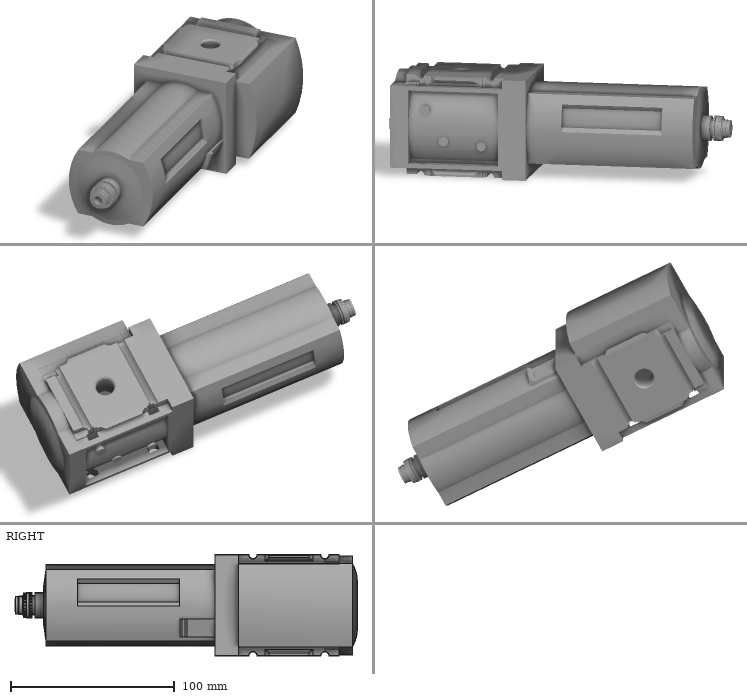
import cadquery as cq
import math


HEAD_SIZE = 62.0
HALF_HEAD = HEAD_SIZE / 2
BASE_LENGTH = 14.5
CAP_FRONT_Y = 76.0
CAP_REAR_Y = 84.2
REAR_END_Y = 87.0
FRAME_HALF_HEIGHT = 25.3
CAP_HALF_HEIGHT = 25.5
PORT_BLOCK_HALF_WIDTH = 24.3
PORT_Y = (BASE_LENGTH + CAP_FRONT_Y) / 2

BULGE_HALF_WIDTH = 14.7
BULGE_TOP = 30.4
DOME_RADIUS = 25.1
DOME_FLAT_RADIUS = 15.0

COVER_EDGE_X = 39.8
COVER_CROWN_X = 44.8

PORT_DIAMETER = 11.3
PORT_MOUTH_DIAMETER = 13.2
PORT_DEPTH = 16.7
GROOVE_RADIUS = 2.5
GROOVE_OFFSET = 22.0
LEDGE_HEIGHT = 26.5
LEDGE_INNER_X = 19.9
WING_REACH = 2.5
WING_HALF_LENGTH = 14.7
WING_TIP_HALF_LENGTH = 12.1
WING_ROOT_HEIGHT = 27.0
WING_TOP_DROP = 0.5
WING_BEVEL_START = 28.3
WING_BEVEL = 0.8
KEYHOLE_OFFSET = 20.5
KEYHOLE_OUTER_X = -27.5
KEYHOLE_STEP_X = -23.5
KEYHOLE_INNER_X = -22.2
KEYHOLE_WIDTH = 7.0
KEYHOLE_NECK_WIDTH = 3.8

WINDOW_FRONT_Y = 17.0
WINDOW_REAR_Y = 72.9
WINDOW_HALF_HEIGHT = 22.8
WINDOW_FLOOR_X = -21.5
DRUM_CROWN_X = -29.7
DRUM_EDGE_X = -21.8
DRUM_HALF_HEIGHT = 21.1
PIN_END_X = -30.1
PINS = [(5.5, 62.4, 10.9), (6.0, 51.3, -8.4), (5.5, 27.6, -10.9)]

BOWL_LENGTH = 103.5
BOWL_CORNER = 21.8
BOWL_HALF_WIDTH = 28.0
BOWL_BULGE_RADIUS = 25.0
CONE_LARGE_RADIUS = 21.5
CONE_SMALL_RADIUS = 11.5
CONE_HEIGHT = 1.5

SLOT_START = 21.8
SLOT_END = 84.2
SLOT_DEPTH = 3.5
SLOT_SILL_Z = -0.5
SLOT_FLOOR_LOW_Z = 2.0
SLOT_SHELF_X = 26.0
SLOT_FLOOR_HIGH_Z = 13.5
SLOT_LIP_Z = 16.1

LATCH_TOP_Z = -8.4
LATCH_BOTTOM_Z = -19.3
LATCH_PLATE_HEIGHT = 1.9
LATCH_RIDGE_HEIGHT = 3.3
LATCH_ROOT_DEPTH = 2.0
LATCH_LENGTH = 21.4
LATCH_RIDGE_LENGTH = 4.2
LATCH_RIDGE_SLOPE = 1.3

DRAIN_LENGTH = 122.3
DRAIN_BORE_DIAMETER = 5.5
DRAIN_BORE_DEPTH = 6.3
DRAIN_TIP_RADIUS = 3.1
DRAIN_TIP_HEIGHT = 0.2
NOTCH_COUNT = 24
NOTCH_WIDTH = 0.6
NOTCH_DEPTH = 0.5
RING_RADIUS = 7.7
RING_START = 112.0
RING_END = 113.0
COLLAR_RADIUS = 7.5
COLLAR_START = 115.4
COLLAR_END = 117.2
DRAIN_STEPS = [
    (7.7, 110.1),
    (5.9, RING_START),
    (RING_RADIUS, RING_END),
    (5.9, 113.7),
    (7.7, COLLAR_START),
    (COLLAR_RADIUS, COLLAR_END),
    (6.0, 117.9),
    (5.7, 120.0),
    (5.0, 120.5),
    (5.5, DRAIN_LENGTH - DRAIN_TIP_HEIGHT),
]

OVERSHOOT = 4.2


def box(x_range, y_range, z_range):
    """Axis-aligned box between the given limits."""
    (x0, x1), (y0, y1), (z0, z1) = x_range, y_range, z_range
    return cq.Workplane("XY").box(x1 - x0, y1 - y0, z1 - z0, centered=False).translate((x0, y0, z0))


def symmetric(limit):
    return (-limit, limit)


def section_at(y):
    """Workplane in X and Z at the given Y; it extrudes towards -Y."""
    return cq.Workplane("XZ", origin=(0, y, 0))


def both_z(shape):
    """The shape together with its mirror image below the XY plane."""
    return shape.union(shape.mirror("XY"))


def arc_sagitta(height, crown_x, edge_x, edge_height):
    """Drop from the crown, at a height, of the arc from its crown to its edge."""
    rise = crown_x - edge_x
    radius = (edge_height**2 + rise**2) / (2 * rise)
    return radius - math.sqrt(radius**2 - height**2)



def head_blank():
    base = box(symmetric(HALF_HEAD), (0, BASE_LENGTH), symmetric(HALF_HEAD))
    frame = box(symmetric(HALF_HEAD), (BASE_LENGTH, CAP_FRONT_Y), symmetric(FRAME_HALF_HEIGHT))
    port_block = box(
        symmetric(PORT_BLOCK_HALF_WIDTH), (BASE_LENGTH, CAP_FRONT_Y), symmetric(HALF_HEAD)
    )
    return base.union(frame).union(port_block)


def cap():
    plate = box(symmetric(HALF_HEAD), (CAP_FRONT_Y, CAP_REAR_Y), symmetric(CAP_HALF_HEIGHT))
    bulges = (
        section_at(CAP_REAR_Y)
        .moveTo(-BULGE_HALF_WIDTH, -CAP_HALF_HEIGHT)
        .lineTo(-BULGE_HALF_WIDTH, CAP_HALF_HEIGHT)
        .threePointArc((0, BULGE_TOP), (BULGE_HALF_WIDTH, CAP_HALF_HEIGHT))
        .lineTo(BULGE_HALF_WIDTH, -CAP_HALF_HEIGHT)
        .threePointArc((0, -BULGE_TOP), (-BULGE_HALF_WIDTH, -CAP_HALF_HEIGHT))
        .close()
        .extrude(CAP_REAR_Y - CAP_FRONT_Y)
    )
    dome = (
        cq.Workplane("XY")
        .moveTo(0, CAP_REAR_Y)
        .lineTo(0, REAR_END_Y)
        .lineTo(DOME_FLAT_RADIUS, REAR_END_Y)
        .tangentArcPoint((DOME_RADIUS, CAP_REAR_Y), relative=False)
        .close()
        .revolve(360, (0, 0, 0), (0, 1, 0))
    )
    return plate.union(bulges).union(dome)


def cover():
    return (
        section_at(CAP_REAR_Y)
        .moveTo(HALF_HEAD, -CAP_HALF_HEIGHT)
        .lineTo(COVER_EDGE_X, -CAP_HALF_HEIGHT)
        .threePointArc((COVER_CROWN_X, 0), (COVER_EDGE_X, CAP_HALF_HEIGHT))
        .lineTo(HALF_HEAD, CAP_HALF_HEIGHT)
        .close()
        .extrude(CAP_REAR_Y - BASE_LENGTH)
    )


def wings():
    """Flared wings along both sides of the port block, top and bottom."""
    root_x = PORT_BLOCK_HALF_WIDTH
    tip_x = root_x + WING_REACH
    plan = (
        cq.Workplane("XY")
        .polyline([
            (root_x, -WING_HALF_LENGTH),
            (tip_x, -WING_TIP_HALF_LENGTH),
            (tip_x, WING_TIP_HALF_LENGTH),
            (root_x, WING_HALF_LENGTH),
        ])
        .close()
        .extrude(HALF_HEAD)
    )
    profile = (
        section_at(WING_HALF_LENGTH)
        .moveTo(root_x, WING_ROOT_HEIGHT)
        .lineTo(tip_x - WING_BEVEL, WING_BEVEL_START)
        .lineTo(tip_x, WING_BEVEL_START + WING_BEVEL)
        .lineTo(tip_x, HALF_HEAD - WING_TOP_DROP)
        .lineTo(root_x, HALF_HEAD)
        .close()
        .extrude(2 * WING_HALF_LENGTH)
    )
    wing = plan.intersect(profile).translate((0, PORT_Y, 0))
    return both_z(wing.union(wing.mirror("YZ")))


def ports():
    chamfer = (PORT_MOUTH_DIAMETER - PORT_DIAMETER) / 2
    port = (
        cq.Workplane("XY", origin=(0, PORT_Y, HALF_HEAD))
        .circle(PORT_DIAMETER / 2)
        .extrude(-PORT_DEPTH)
    )
    mouth = (
        cq.Workplane("XY", origin=(0, PORT_Y, HALF_HEAD))
        .circle(PORT_MOUTH_DIAMETER / 2)
        .workplane(offset=-chamfer)
        .circle(PORT_DIAMETER / 2)
        .loft(ruled=True)
    )
    return both_z(port.union(mouth))


def grooves():
    """Round cross grooves on both sides of each port."""
    groove = (
        cq.Workplane("YZ", origin=(-PORT_BLOCK_HALF_WIDTH, 0, 0))
        .pushPoints([(PORT_Y + side * GROOVE_OFFSET, HALF_HEAD) for side in (-1, 1)])
        .circle(GROOVE_RADIUS)
        .extrude(2 * PORT_BLOCK_HALF_WIDTH)
    )
    return both_z(groove)


def ledges():
    """Lowered corners of the port block next to the cap."""
    y_range = (PORT_Y + GROOVE_OFFSET, CAP_FRONT_Y)
    corner = box((LEDGE_INNER_X, PORT_BLOCK_HALF_WIDTH), y_range, (LEDGE_HEIGHT, HALF_HEAD))
    return both_z(corner.union(corner.mirror("YZ")))


def keyholes():
    """Stepped openings through the frame bars into the side window."""
    z_range = (WINDOW_HALF_HEIGHT - OVERSHOOT, HALF_HEAD)
    cutter = cq.Workplane("XY")
    for side in (-1, 1):
        y = PORT_Y + side * KEYHOLE_OFFSET
        half_width = KEYHOLE_WIDTH / 2
        half_neck = KEYHOLE_NECK_WIDTH / 2
        body = box((KEYHOLE_OUTER_X, KEYHOLE_STEP_X), (y - half_width, y + half_width), z_range)
        neck = box((KEYHOLE_STEP_X, KEYHOLE_INNER_X), (y - half_neck, y + half_neck), z_range)
        cutter = cutter.union(body).union(neck)
    return both_z(cutter)


def side_window():
    return box(
        (-HALF_HEAD, WINDOW_FLOOR_X), (WINDOW_FRONT_Y, WINDOW_REAR_Y), symmetric(WINDOW_HALF_HEIGHT)
    )


def drum():
    """Curved body that fills the back of the side window, with the pins standing on it."""
    shape = (
        section_at(WINDOW_REAR_Y)
        .moveTo(WINDOW_FLOOR_X, -DRUM_HALF_HEIGHT)
        .lineTo(DRUM_EDGE_X, -DRUM_HALF_HEIGHT)
        .threePointArc((DRUM_CROWN_X, 0), (DRUM_EDGE_X, DRUM_HALF_HEIGHT))
        .lineTo(WINDOW_FLOOR_X, DRUM_HALF_HEIGHT)
        .close()
        .extrude(WINDOW_REAR_Y - WINDOW_FRONT_Y)
    )
    for diameter, y, z in PINS:
        pin = (
            cq.Workplane("YZ", origin=(PIN_END_X, y, z))
            .circle(diameter / 2)
            .extrude(WINDOW_FLOOR_X - PIN_END_X)
        )
        shape = shape.union(pin)
    return shape


def make_head():
    head = head_blank().union(cap()).union(cover()).union(wings())
    head = head.cut(ports()).cut(grooves()).cut(ledges()).cut(side_window()).cut(keyholes())
    return head.union(drum())



def bowl_side_x(z):
    """X of the bowl's rounded +X side at a height."""
    return BOWL_HALF_WIDTH - arc_sagitta(z, BOWL_HALF_WIDTH, BOWL_CORNER, BOWL_CORNER)


def bowl_shell():
    corner = BOWL_CORNER
    sides = (
        section_at(0)
        .moveTo(-corner, corner)
        .lineTo(corner, corner)
        .threePointArc((BOWL_HALF_WIDTH, 0), (corner, -corner))
        .lineTo(-corner, -corner)
        .threePointArc((-BOWL_HALF_WIDTH, 0), (-corner, corner))
        .close()
        .extrude(BOWL_LENGTH)
    )
    bulge = section_at(0).circle(BOWL_BULGE_RADIUS).extrude(BOWL_LENGTH)
    return sides.union(bulge)


def sight_slots():
    floor_low = (bowl_side_x(SLOT_FLOOR_LOW_Z) - SLOT_DEPTH, SLOT_FLOOR_LOW_Z)
    floor_high = (bowl_side_x(SLOT_FLOOR_HIGH_Z) - SLOT_DEPTH, SLOT_FLOOR_HIGH_Z)
    middle_z = (SLOT_FLOOR_LOW_Z + SLOT_FLOOR_HIGH_Z) / 2
    floor_middle = (bowl_side_x(middle_z) - SLOT_DEPTH, middle_z)
    outside_x = BOWL_HALF_WIDTH + OVERSHOOT
    slot = (
        section_at(-SLOT_START)
        .moveTo(outside_x, SLOT_SILL_Z)
        .lineTo(bowl_side_x(SLOT_SILL_Z), SLOT_SILL_Z)
        .lineTo(SLOT_SHELF_X, SLOT_FLOOR_LOW_Z)
        .lineTo(*floor_low)
        .threePointArc(floor_middle, floor_high)
        .lineTo(bowl_side_x(SLOT_LIP_Z), SLOT_LIP_Z)
        .lineTo(outside_x, SLOT_LIP_Z)
        .close()
        .extrude(SLOT_END - SLOT_START)
    )
    return slot.union(slot.mirror("YZ"))


def latch_outline(height, distance):
    """Closed outline, a height proud of the bowl's +X side, at a distance from the joint."""
    top_x = bowl_side_x(LATCH_TOP_Z)
    bottom_x = bowl_side_x(LATCH_BOTTOM_Z)
    corners = [
        (top_x - LATCH_ROOT_DEPTH, LATCH_TOP_Z),
        (top_x + height, LATCH_TOP_Z),
        (bottom_x + height, LATCH_BOTTOM_Z),
        (bottom_x - LATCH_ROOT_DEPTH, LATCH_BOTTOM_Z),
    ]
    return cq.Wire.makePolygon([cq.Vector(x, -distance, z) for x, z in corners], close=True)


def latch():
    """Plate that rises to a ridge with sloped flanks at its far end."""
    ridge_start = LATCH_LENGTH - LATCH_RIDGE_LENGTH
    stations = [
        (LATCH_PLATE_HEIGHT, 0),
        (LATCH_PLATE_HEIGHT, ridge_start),
        (LATCH_RIDGE_HEIGHT, ridge_start + LATCH_RIDGE_SLOPE),
        (LATCH_RIDGE_HEIGHT, LATCH_LENGTH - LATCH_RIDGE_SLOPE),
        (LATCH_PLATE_HEIGHT, LATCH_LENGTH),
    ]
    outlines = [latch_outline(height, distance) for height, distance in stations]
    return cq.Workplane(cq.Solid.makeLoft(outlines, True))


def drain_notches():
    """Grip notches around the ring and the collar of the drain."""
    cutter = cq.Workplane("XY")
    for radius, start, end in [
        (RING_RADIUS, RING_START, RING_END),
        (COLLAR_RADIUS, COLLAR_START, COLLAR_END),
    ]:
        notches = (
            section_at(-start)
            .polarArray(radius, 0, 360, NOTCH_COUNT)
            .rect(2 * NOTCH_DEPTH, NOTCH_WIDTH)
            .extrude(end - start)
        )
        cutter = cutter.add(notches)
    return cutter


def end_cone_and_drain():
    """Shallow end cone and the stepped drain fitting, turned about the bowl axis."""
    start = BOWL_LENGTH + CONE_HEIGHT
    points = [(0, -BOWL_LENGTH), (CONE_LARGE_RADIUS, -BOWL_LENGTH), (CONE_SMALL_RADIUS, -start)]
    for radius, end in DRAIN_STEPS:
        points += [(radius, -start), (radius, -end)]
        start = end
    points += [(DRAIN_TIP_RADIUS, -DRAIN_LENGTH), (0, -DRAIN_LENGTH)]
    turned = cq.Workplane("XY").polyline(points).close().revolve(360, (0, 0, 0), (0, 1, 0))
    bore = (
        section_at(-DRAIN_LENGTH)
        .circle(DRAIN_BORE_DIAMETER / 2)
        .extrude(-DRAIN_BORE_DEPTH)
    )
    return turned.cut(bore).cut(drain_notches())


def make_bowl():
    return bowl_shell().cut(sight_slots()).union(latch()).union(end_cone_and_drain())


head = make_head()
bowl = make_bowl()
result = cq.Compound.makeCompound([head.val(), bowl.val()])